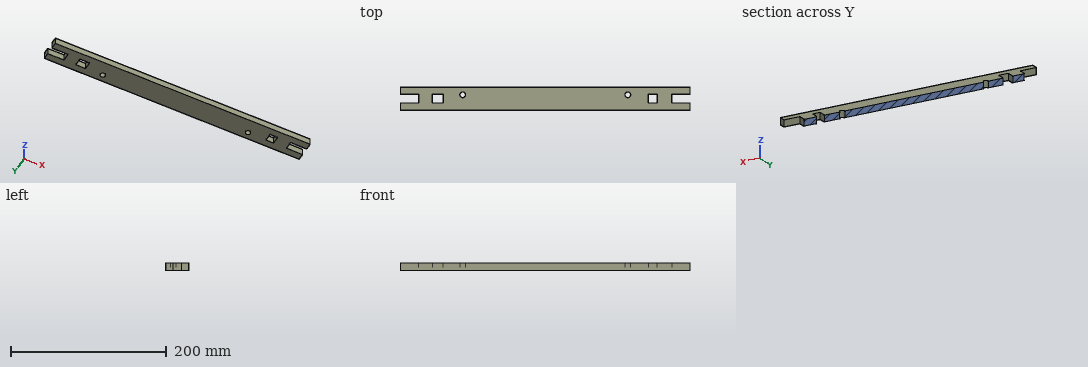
import cadquery as cq

length = 372.0
width = 30.0
thickness = 10.0

slot_width = 11.0
slot_depth = 23.5

window_width = slot_width
window_end_distance = 48.0
left_window_length = 14.0
right_window_length = window_width

hole_diameter = 7.0
hole_end_distance = 80.0
hole_y = 5.0


def through_box(center_x, size_x, size_y):
    """Cutter centred on the bar's centre line that passes through its thickness."""
    return cq.Workplane("XY").box(size_x, size_y, thickness).translate((center_x, 0, 0))


def end_slot(side):
    """Slot open at the end of the bar; side is -1 for the -X end, +1 for the +X end."""
    return through_box(side * (length - slot_depth) / 2, slot_depth, slot_width)


def window(side, window_length):
    """Rectangular opening near one end of the bar."""
    return through_box(side * (length / 2 - window_end_distance), window_length, window_width)


def round_hole(side):
    """Round through hole near one end of the bar."""
    center_x = side * (length / 2 - hole_end_distance)
    hole = cq.Workplane("XY").circle(hole_diameter / 2).extrude(thickness / 2, both=True)
    return hole.translate((center_x, hole_y, 0))


result = cq.Workplane("XY").box(length, width, thickness)
for side, window_length in ((-1, left_window_length), (1, right_window_length)):
    result = result.cut(end_slot(side))
    result = result.cut(window(side, window_length))
    result = result.cut(round_hole(side))